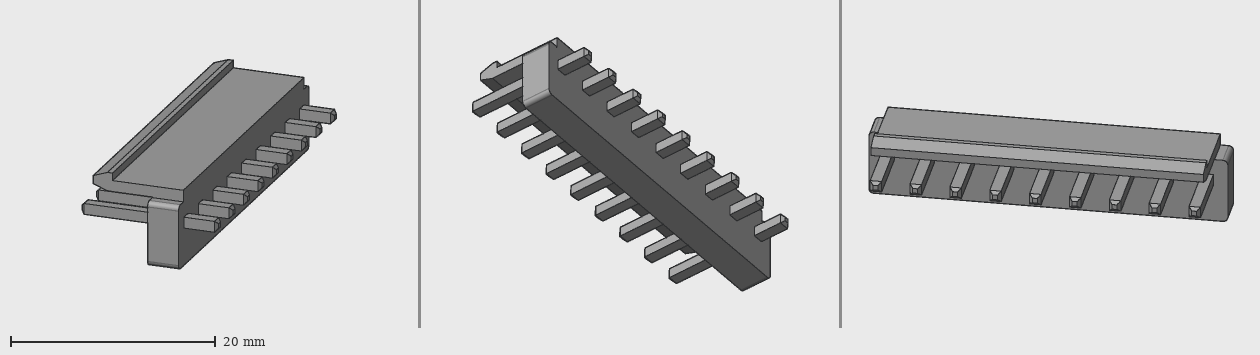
import cadquery as cq

wall_length = 35.65
wall_thickness = 3.25
wall_height = 6.7
wall_corner_radius = 0.5

latch_length = 33.0
arm_underside = 6.77
arm_thickness = 1.15
arm_top = arm_underside + arm_thickness
hook_top = 8.7
hook_back_x = -4.17
hook_crest_x = -4.7
hook_tip_x = -6.2
hook_tip_low = 7.3
hook_tip_high = 8.15

pin_count = 9
pin_pitch = 3.95
pin_width = 1.15
pin_height = 4.5
pin_front_reach = 7.52
pin_back_reach = 3.53
pin_taper_length = 0.32
pin_end_width = 0.5


def make_wall():
    """Upright wall with rounded long edges at its four end corners."""
    wall = cq.Workplane("XY").box(
        wall_thickness, wall_length, wall_height, centered=(False, True, False)
    )
    return wall.edges("|X").fillet(wall_corner_radius)


def make_latch():
    """Arm and hook profile extruded symmetrically along Y, with its root standing on the wall."""
    profile = [
        (wall_thickness, wall_height),
        (wall_thickness, arm_top),
        (hook_back_x, arm_top),
        (hook_back_x, hook_top),
        (hook_crest_x, hook_top),
        (hook_tip_x, hook_tip_high),
        (hook_tip_x, hook_tip_low),
        (hook_crest_x, arm_underside),
        (0, arm_underside),
        (0, wall_height),
    ]
    return cq.Workplane("XZ").polyline(profile).close().extrude(latch_length / 2, both=True)


def make_pin():
    """Square pin on the X axis with a tapered point at each end."""
    front_shoulder = -pin_front_reach + pin_taper_length
    back_shoulder = wall_thickness + pin_back_reach - pin_taper_length
    shaft = (
        cq.Workplane("YZ", origin=(front_shoulder, 0, 0))
        .rect(pin_width, pin_width)
        .extrude(back_shoulder - front_shoulder)
    )
    for shoulder, direction in ((front_shoulder, -1), (back_shoulder, 1)):
        point = (
            cq.Workplane("YZ", origin=(shoulder, 0, 0))
            .rect(pin_width, pin_width)
            .workplane(offset=direction * pin_taper_length)
            .rect(pin_end_width, pin_end_width)
            .loft(ruled=True)
        )
        shaft = shaft.union(point)
    return shaft


result = make_wall().union(make_latch())

pin = make_pin()
first_pin_y = -pin_pitch * (pin_count - 1) / 2
for index in range(pin_count):
    pin_y = first_pin_y + index * pin_pitch
    result = result.union(pin.translate((0, pin_y, pin_height)))